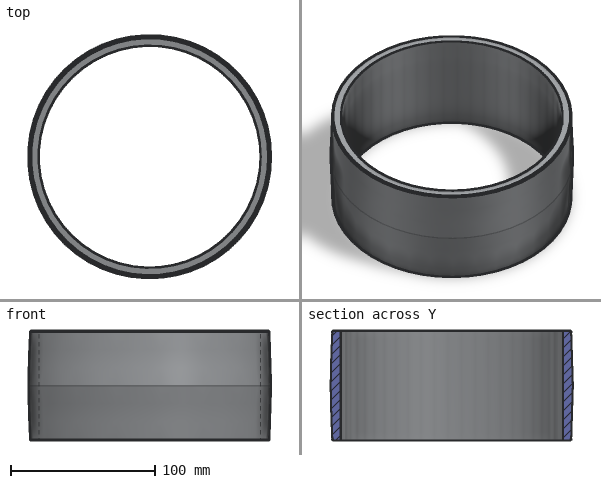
import cadquery as cq

outer_diameter = 168.3
end_diameter = 166.0
bore_diameter = 153.6
height = 76.2
chamfer = 0.8
band_height = 0.1

outer_radius = outer_diameter / 2
end_radius = end_diameter / 2
bore_radius = bore_diameter / 2
face_radius = end_radius - chamfer
half_height = height / 2
half_band = band_height / 2
taper_end_z = half_height - chamfer

section = (
    cq.Workplane("XZ")
    .moveTo(bore_radius, -half_height)
    .lineTo(face_radius, -half_height)
    .lineTo(end_radius, -taper_end_z)
    .lineTo(outer_radius, -half_band)
    .lineTo(outer_radius, half_band)
    .lineTo(end_radius, taper_end_z)
    .lineTo(face_radius, half_height)
    .lineTo(bore_radius, half_height)
    .close()
)

result = section.revolve(360, (0, 0, 0), (0, 1, 0))